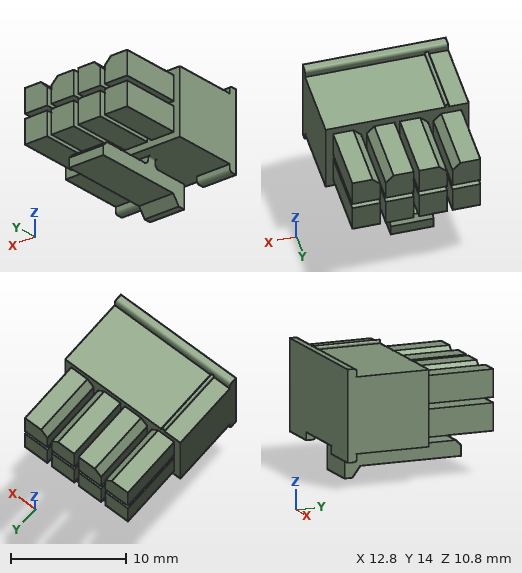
import cadquery as cq

overall_depth = 14.0
overall_height = 10.85

body_width = 12.85
body_depth = 7.65
body_height = 6.86
flange_thickness = 0.85
flange_lip = 0.73
flange_radius = 0.3
notch_width = 5.46

rib_width = 0.35
rib_height = 0.3
rib_offset = 1.93

columns = 4
rows = 2
finger_pitch = 3.0
finger_size = 2.5
finger_chamfer = 0.7

latch_width = 3.85
latch_front = 1.61
latch_back = 12.6
latch_gap = 0.81
lever_thickness = 1.45
lever_chamfer = 0.49
hook_tip_length = 0.74
hook_root_length = 1.5
post_thickness = 0.95
post_center = 6.05
post_top_radius = 0.2
post_foot_radius = 0.49

latch_bottom = body_height + flange_lip - overall_height


def box(x_min, x_max, y_min, y_max, z_min, z_max):
    size = (x_max - x_min, y_max - y_min, z_max - z_min)
    return cq.Workplane("XY").box(*size, centered=False).translate((x_min, y_min, z_min))


def make_body():
    half_width = body_width / 2
    body = box(-half_width, half_width, 0, body_depth, 0, body_height)
    flange = box(-half_width, half_width, 0, flange_thickness, -flange_lip, body_height + flange_lip)
    flange = flange.faces(">Y").edges("|X").fillet(flange_radius)
    notch = box(-notch_width / 2, notch_width / 2, 0, flange_thickness, -flange_lip, 0)
    return body.union(flange.cut(notch))


def make_rib():
    """Straight rib with a half-round top, running from the flange to the back of the body."""
    center_x = rib_offset - body_width / 2
    radius = rib_width / 2
    shoulder_z = body_height + rib_height - radius
    profile = (
        cq.Workplane("XZ")
        .moveTo(center_x - radius, body_height)
        .lineTo(center_x - radius, shoulder_z)
        .threePointArc((center_x, body_height + rib_height), (center_x + radius, shoulder_z))
        .lineTo(center_x + radius, body_height)
        .close()
    )
    return profile.extrude(-body_depth)


def make_finger(column, row):
    """Square finger; those of the top row have one top edge chamfered, facing their neighbour."""
    x_min = (column - (columns - 1) / 2) * finger_pitch - finger_size / 2
    z_min = body_height / 2 + (row - (rows - 1) / 2) * finger_pitch - finger_size / 2
    finger = box(x_min, x_min + finger_size, body_depth, overall_depth, z_min, z_min + finger_size)
    if row == rows - 1:
        chamfered_side = ">X" if column % 2 == 0 else "<X"
        finger = finger.faces(">Z").edges(chamfered_side).chamfer(finger_chamfer)
    return finger


def make_lever():
    """Lever with its hook at the front, joined to the post by two round fillets."""
    top = -latch_gap
    bottom = top - lever_thickness
    outline = [
        (latch_front, top),
        (latch_front, latch_bottom),
        (latch_front + hook_tip_length, latch_bottom),
        (latch_front + hook_root_length, bottom),
        (latch_back, bottom),
        (latch_back, top - lever_chamfer),
        (latch_back - lever_chamfer, top),
    ]
    return cq.Workplane("YZ").polyline(outline).close().extrude(latch_width / 2, both=True)


def make_post_foot():
    """Lower part of the post, widening in Y onto the lever."""
    post_front = post_center - post_thickness / 2
    post_back = post_center + post_thickness / 2
    foot_top = post_foot_radius - latch_gap
    profile = (
        cq.Workplane("YZ")
        .moveTo(post_front - post_foot_radius, -latch_gap)
        .radiusArc((post_front, foot_top), -post_foot_radius)
        .lineTo(post_back, foot_top)
        .radiusArc((post_back + post_foot_radius, -latch_gap), -post_foot_radius)
        .close()
    )
    return profile.extrude(latch_width / 2, both=True)


def make_post_top():
    """Upper part of the post, widening in X onto the body."""
    half_width = latch_width / 2
    flared_half_width = half_width + post_top_radius
    foot_top = post_foot_radius - latch_gap
    profile = (
        cq.Workplane("XZ", origin=(0, post_center, 0))
        .moveTo(-flared_half_width, 0)
        .radiusArc((-half_width, -post_top_radius), post_top_radius)
        .lineTo(-half_width, foot_top)
        .lineTo(half_width, foot_top)
        .lineTo(half_width, -post_top_radius)
        .radiusArc((flared_half_width, 0), post_top_radius)
        .close()
    )
    return profile.extrude(post_thickness / 2, both=True)


result = make_body().union(make_rib())
for column in range(columns):
    for row in range(rows):
        result = result.union(make_finger(column, row))
result = result.union(make_post_top()).union(make_post_foot()).union(make_lever())